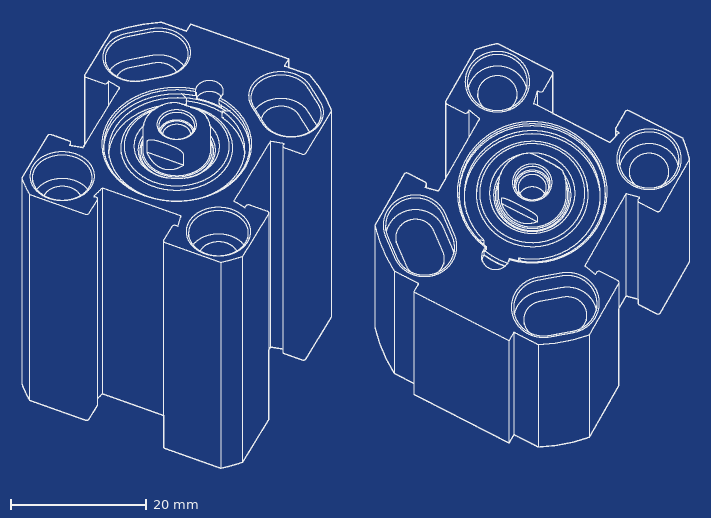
import cadquery as cq
import math

body_height = 47.0
rod_top = 51.5

half_width = 18.0
shoulder_y = 20.5
pad_y = 22.0
pad_half_width = 8.0
corner_radius = 23.8

slot_half_opening = 6.1
slot_half_undercut = 6.85
slot_half_floor = 6.4
slot_floor = 12.3
slot_lip = 14.3
lip_rounding = 0.4
position_tolerance = 0.01

bolt_circle_radius = 18.0
bolt_diameter = 5.8
counterbore_diameter = 8.8
counterbore_depth = 5.7
counterbore_chamfer = 0.35
slot_end_angle = 56.3
bolt_offset = bolt_circle_radius * math.cos(math.radians(45))

bore_diameter = 21.6
bore_chamfer = 0.25
groove_diameter = 22.8
ring_inner_diameter = 20.1
ring_top = 45.8
ring_thickness = 1.5
ring_bottom = ring_top - ring_thickness
ring_gap_inner_half = 2.9
ring_gap_slope = 2.0
notch_radius = 2.05
notch_floor = 44.5

cover_bottom = 36.0
boss_top = 46.6
boss_diameter = 16.5
boss_chamfer_width = 0.5
boss_chamfer_height = 0.4
boss_foot_diameter = 17.6

seal_pocket_diameter = 11.4
seal_pocket_mouth = 12.6
seal_lip_diameter = 10.48
seal_height = 2.0
seal_recess = 0.9
seal_top = boss_top - seal_recess
seal_valley_diameter = 10.9
seal_valley_depth = 0.3

rod_diameter = 10.0
rod_edge_radius = 1.25
flat_half_width = 4.0
flat_bottom = 48.0
flat_runout_height = 1.2
thread_mouth_diameter = 5.8
thread_diameter = 5.25
thread_depth = 2.0
core_mouth_diameter = 4.8
core_diameter = 4.13
core_depth = 8.0
core_tip_height = 1.2


def revolve(points):
    """Solid of revolution about Z from (radius, height) points."""
    return cq.Workplane("XZ").polyline(points).close().revolve(360, (0, 0), (0, 1))


def sensor_slot(angle):
    """Full-height undercut slot opening toward -Y, turned about Z by angle."""
    half_profile = [
        (slot_half_floor, -slot_floor),
        (slot_half_undercut, -slot_lip),
        (slot_half_opening, -slot_lip),
        (slot_half_opening, -half_width),
    ]
    mirrored = [(-x, y) for x, y in reversed(half_profile)]
    slot = cq.Workplane("XY").polyline(half_profile + mirrored).close().extrude(body_height)
    return slot.rotate((0, 0, 0), (0, 0, 1), angle)


def at_slot_lip_edge(edge):
    """True if a vertical edge is an outer or inner corner of a slot lip."""
    center = edge.Center()
    across, outward = sorted((abs(center.x), abs(center.y)))
    at_opening = math.isclose(across, slot_half_opening, abs_tol=position_tolerance)
    return at_opening and outward > slot_floor


def long_hole(start, end, diameter, bottom, top, taper=0):
    """Upright prism with round ends about two points; round if they coincide."""
    length = math.dist(start, end)
    middle = ((start[0] + end[0]) / 2, (start[1] + end[1]) / 2)
    outline = cq.Workplane("XY").workplane(offset=bottom).center(*middle)
    if start == end:
        outline = outline.circle(diameter / 2)
    else:
        angle = math.degrees(math.atan2(end[1] - start[1], end[0] - start[0]))
        outline = outline.slot2D(length + diameter, diameter, angle)
    return outline.extrude(top - bottom, taper=taper)


def mounting_hole(start, end):
    """Counterbored through hole, round or elongated, with a chamfered mouth."""
    counterbore_floor = body_height - counterbore_depth
    mouth_floor = body_height - counterbore_chamfer
    through = long_hole(start, end, bolt_diameter, 0, body_height)
    counterbore = long_hole(start, end, counterbore_diameter, counterbore_floor, body_height)
    mouth = long_hole(start, end, counterbore_diameter, mouth_floor, body_height, taper=-45)
    return through.union(counterbore).union(mouth)


def build_housing():
    base = cq.Workplane("XY").rect(2 * half_width, half_width + shoulder_y)
    base = base.extrude(body_height).translate((0, (shoulder_y - half_width) / 2, 0))
    housing = base.intersect(cq.Workplane("XY").circle(corner_radius).extrude(body_height))
    pad = cq.Workplane("XY").rect(2 * pad_half_width, pad_y).extrude(body_height)
    housing = housing.union(pad.translate((0, pad_y / 2, 0)))

    for angle in (0, 90, -90):
        housing = housing.cut(sensor_slot(angle))
    lip_edges = [e for e in housing.edges("|Z").vals() if at_slot_lip_edge(e)]
    housing = housing.newObject(lip_edges).fillet(lip_rounding)

    end_x = bolt_circle_radius * math.cos(math.radians(slot_end_angle))
    end_y = bolt_circle_radius * math.sin(math.radians(slot_end_angle))
    for side in (-1, 1):
        lower = (side * bolt_offset, -bolt_offset)
        upper = (side * bolt_offset, bolt_offset)
        housing = housing.cut(mounting_hole(lower, lower))
        housing = housing.cut(mounting_hole(upper, (side * end_x, end_y)))

    bore_radius = bore_diameter / 2
    groove_radius = groove_diameter / 2
    bore = revolve([
        (0, cover_bottom),
        (bore_radius, cover_bottom),
        (bore_radius, ring_bottom),
        (groove_radius, ring_bottom),
        (groove_radius, ring_top),
        (bore_radius, ring_top),
        (bore_radius, body_height - bore_chamfer),
        (bore_radius + bore_chamfer, body_height),
        (0, body_height),
    ])
    notch = cq.Workplane("XY").workplane(offset=notch_floor).center(0, groove_radius)
    notch = notch.circle(notch_radius).extrude(body_height - notch_floor)
    return housing.cut(bore).cut(notch)


def build_snap_ring():
    ring = cq.Workplane("XY").workplane(offset=ring_bottom).circle(groove_diameter / 2)
    ring = ring.circle(ring_inner_diameter / 2).extrude(ring_thickness)
    inner_y = math.sqrt((ring_inner_diameter / 2) ** 2 - ring_gap_inner_half ** 2)
    outer_y = groove_diameter / 2
    gap_outer_half = ring_gap_inner_half + ring_gap_slope * (outer_y - inner_y)
    gap = cq.Workplane("XY").workplane(offset=ring_bottom).polyline([
        (-ring_gap_inner_half, 0),
        (ring_gap_inner_half, 0),
        (ring_gap_inner_half, inner_y),
        (gap_outer_half, outer_y),
        (-gap_outer_half, outer_y),
        (-ring_gap_inner_half, inner_y),
    ]).close().extrude(ring_thickness)
    return ring.cut(gap)


def build_cover():
    boss_radius = boss_diameter / 2
    foot_radius = boss_foot_diameter / 2
    foot_fillet = foot_radius - boss_radius
    foot_middle = foot_fillet * (1 - math.sqrt(0.5))
    pocket_radius = seal_pocket_diameter / 2
    seal_bottom = seal_top - seal_height
    profile = cq.Workplane("XZ").moveTo(rod_diameter / 2, cover_bottom)
    profile = profile.lineTo(bore_diameter / 2, cover_bottom)
    profile = profile.lineTo(bore_diameter / 2, ring_bottom)
    profile = profile.lineTo(foot_radius, ring_bottom)
    profile = profile.threePointArc(
        (boss_radius + foot_middle, ring_bottom + foot_middle),
        (boss_radius, ring_bottom + foot_fillet),
    )
    profile = profile.lineTo(boss_radius, boss_top - boss_chamfer_height)
    profile = profile.lineTo(boss_radius - boss_chamfer_width, boss_top)
    profile = profile.lineTo(seal_pocket_mouth / 2, boss_top)
    profile = profile.lineTo(pocket_radius, seal_top)
    profile = profile.lineTo(pocket_radius, seal_bottom)
    profile = profile.lineTo(rod_diameter / 2, seal_bottom).close()
    return profile.revolve(360, (0, 0), (0, 1))


def build_seal():
    seal_bottom = seal_top - seal_height
    return revolve([
        (rod_diameter / 2, seal_bottom),
        (seal_pocket_diameter / 2, seal_bottom),
        (seal_pocket_diameter / 2, seal_top),
        (seal_valley_diameter / 2, seal_top - seal_valley_depth),
        (seal_lip_diameter / 2, seal_top),
        (rod_diameter / 2, seal_top),
    ])


def build_rod():
    rod_radius = rod_diameter / 2
    rod = cq.Workplane("XY").workplane(offset=cover_bottom).circle(rod_radius)
    rod = rod.extrude(rod_top - cover_bottom).faces(">Z").edges().fillet(rod_edge_radius)
    for side in (-1, 1):
        flat = cq.Workplane("YZ").polyline([
            (side * flat_half_width, rod_top),
            (side * flat_half_width, flat_bottom),
            (side * rod_radius, flat_bottom - flat_runout_height),
            (side * rod_radius, rod_top),
        ]).close().extrude(rod_radius, both=True)
        rod = rod.cut(flat)
    mouth_drop = (thread_mouth_diameter - thread_diameter) / 2
    core_countersink = (core_mouth_diameter - core_diameter) / 2
    thread_bottom = rod_top - thread_depth
    bore = revolve([
        (0, rod_top),
        (thread_mouth_diameter / 2, rod_top),
        (thread_diameter / 2, rod_top - mouth_drop),
        (thread_diameter / 2, thread_bottom),
        (core_mouth_diameter / 2, thread_bottom),
        (core_diameter / 2, thread_bottom - core_countersink),
        (core_diameter / 2, rod_top - core_depth),
        (0, rod_top - core_depth - core_tip_height),
    ])
    return rod.cut(bore)


housing = build_housing()
snap_ring = build_snap_ring()
cover = build_cover()
seal = build_seal()
rod = build_rod()

result = cq.Compound.makeCompound([
    housing.val(),
    snap_ring.val(),
    cover.val(),
    seal.val(),
    rod.val(),
])